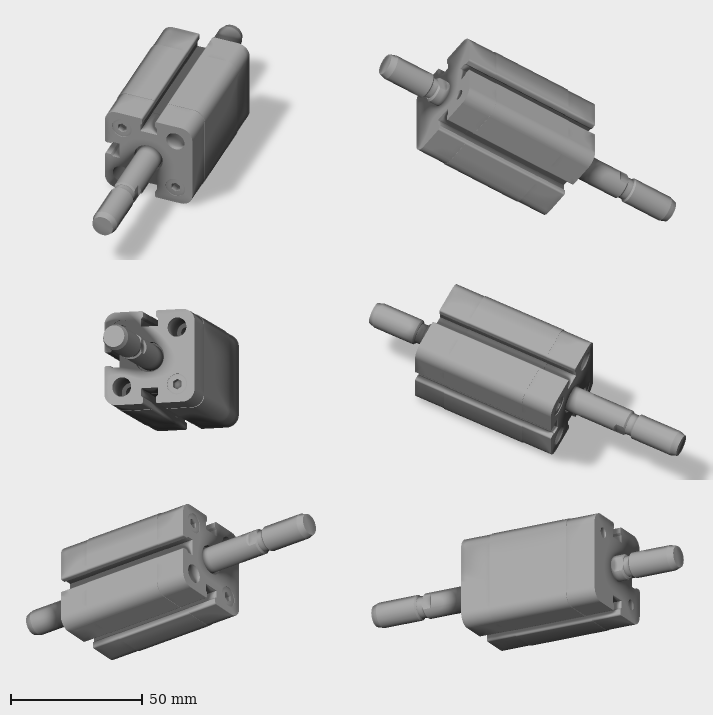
import cadquery as cq
import math


BODY_WIDTH = 36.2
BODY_LENGTH = 57.9
CAP_LENGTH = 12.3
CAP_CORNER_RADIUS = 4.7
CAP_RECESS = 0.1
TUBE_CORNER_RADIUS = 4.6

SLOT_MOUTH = 5.2
SLOT_WIDTH = 6.8
SLOT_DEPTH = 6.0
LIP_STRAIGHT_DEPTH = 2.4
LIP_EDGE_RADIUS = 0.7
SLOT_ANGLES = (0, 90, 180)

HOLE_OFFSET = 11.0
BOLT_HOLE_DIAMETER = 4.2
COUNTERBORE_DIAMETER = 7.5
COUNTERBORE_DEPTH = CAP_LENGTH
SCREW_DIAMETER = 8.0
SCREW_RECESS = 0.3
HEX_ACROSS_FLATS = 3.5
HEX_DEPTH = 2.6

ROD_DIAMETER = 10.0
ROD_LENGTH = 131.0
FRONT_PROJECTION = 46.5
BEARING_DIAMETER = 11.7
BEARING_RECESS = 2.0

FRONT_NECK_DIAMETER = 8.5
REAR_NECK_DIAMETER = 7.9
TIP_DIAMETER = 8.4
TIP_CHAMFER_LENGTH = 2.5
NECK_START = 19.5
NECK_END = 21.9
NECK_CHAMFER = 0.7
FLATS_END = 25.5
FLATS_WIDTH = 8.3
FLATS_DEPTH = (ROD_DIAMETER - FLATS_WIDTH) / 2

ROD_RADIUS = ROD_DIAMETER / 2
REAR_PROJECTION = ROD_LENGTH - BODY_LENGTH - FRONT_PROJECTION


def plane_facing_front(y):
    """Sketch plane at the given Y whose local axes are X and Z."""
    return cq.Workplane("XZ", origin=(0, y, 0))


def slot_cutter(half_height, y_start, length):
    """Slot in the top side of a section whose top face is half_height above the axis."""
    top = half_height
    floor = top - SLOT_DEPTH
    mouth = SLOT_MOUTH / 2
    channel = SLOT_WIDTH / 2
    lip_bottom = top - LIP_STRAIGHT_DEPTH
    undercut = channel - mouth
    outline = (
        plane_facing_front(y_start)
        .moveTo(-channel, floor)
        .lineTo(channel, floor)
        .lineTo(channel, lip_bottom - undercut)
        .lineTo(mouth, lip_bottom)
        .lineTo(mouth, top - LIP_EDGE_RADIUS)
        .radiusArc((mouth + LIP_EDGE_RADIUS, top), LIP_EDGE_RADIUS)
        .lineTo(-mouth - LIP_EDGE_RADIUS, top)
        .radiusArc((-mouth, top - LIP_EDGE_RADIUS), LIP_EDGE_RADIUS)
        .lineTo(-mouth, lip_bottom)
        .lineTo(-channel, lip_bottom - undercut)
        .close()
    )
    return outline.extrude(-length)


def body_section(width, corner_radius, y_start, length):
    """Square bar with rounded corners and its three sensor slots."""
    section = plane_facing_front(y_start).rect(width, width).extrude(-length)
    section = section.edges("|Y").fillet(corner_radius)
    cutter = slot_cutter(width / 2, y_start, length)
    for angle in SLOT_ANGLES:
        section = section.cut(cutter.rotate((0, 0, 0), (0, -1, 0), angle))
    return section


def make_body():
    rear_cap_start = BODY_LENGTH - CAP_LENGTH
    cap_width = BODY_WIDTH - 2 * CAP_RECESS
    tube_length = rear_cap_start - CAP_LENGTH
    body = body_section(BODY_WIDTH, TUBE_CORNER_RADIUS, CAP_LENGTH, tube_length)
    for cap_start in (0, rear_cap_start):
        body = body.union(body_section(cap_width, CAP_CORNER_RADIUS, cap_start, CAP_LENGTH))
    return body


def cut_mounting_holes(body):
    """Two counterbored through holes on one diagonal."""
    centers = [(HOLE_OFFSET, HOLE_OFFSET), (-HOLE_OFFSET, -HOLE_OFFSET)]
    front = plane_facing_front(0).pushPoints(centers)
    body = body.cut(front.circle(BOLT_HOLE_DIAMETER / 2).extrude(-BODY_LENGTH))
    return body.cut(front.circle(COUNTERBORE_DIAMETER / 2).extrude(-COUNTERBORE_DEPTH))


def cut_screw_heads(body):
    """Two socket screw heads, set just below the front face, on the other diagonal."""
    centers = [(-HOLE_OFFSET, HOLE_OFFSET), (HOLE_OFFSET, -HOLE_OFFSET)]
    hex_corner_diameter = HEX_ACROSS_FLATS / math.cos(math.pi / 6)
    for x, z in centers:
        seat = plane_facing_front(0).center(x, z)
        body = body.cut(seat.circle(SCREW_DIAMETER / 2).extrude(-SCREW_RECESS))
        socket = seat.transformed(rotate=(0, 0, 30)).polygon(6, hex_corner_diameter)
        body = body.cut(socket.extrude(-HEX_DEPTH))
    return body


def cut_bearing_recess(body):
    return body.cut(plane_facing_front(0).circle(BEARING_DIAMETER / 2).extrude(-BEARING_RECESS))


def rod_end(length, neck_diameter):
    """Rod end with its tip at Y = 0, reaching toward +Y."""
    neck_radius = neck_diameter / 2
    profile = [
        (0, 0),
        (TIP_DIAMETER / 2, 0),
        (ROD_RADIUS, TIP_CHAMFER_LENGTH),
        (ROD_RADIUS, NECK_START - NECK_CHAMFER),
        (ROD_RADIUS - NECK_CHAMFER, NECK_START),
        (neck_radius, NECK_START),
        (neck_radius, NECK_END),
        (ROD_RADIUS - NECK_CHAMFER, NECK_END),
        (ROD_RADIUS, NECK_END + NECK_CHAMFER),
        (ROD_RADIUS, length),
        (0, length),
    ]
    rod = cq.Workplane("XY").polyline(profile).close().revolve(360, (0, 0, 0), (0, 1, 0))
    for side in (1, -1):
        rod = rod.cut(wrench_flat_cutter(side))
    return rod


def wrench_flat_cutter(side):
    """Flat on the +X or -X side, running out of the rod at 45 degrees."""
    flat = FLATS_WIDTH / 2
    outline = [
        (side * flat, NECK_END),
        (side * flat, FLATS_END),
        (side * ROD_RADIUS, FLATS_END + FLATS_DEPTH),
        (side * ROD_RADIUS, NECK_END),
    ]
    return cq.Workplane("XY").polyline(outline).close().extrude(ROD_RADIUS, both=True)


def make_rod():
    middle = BODY_LENGTH / 2
    front = rod_end(FRONT_PROJECTION + middle, FRONT_NECK_DIAMETER)
    rear = rod_end(REAR_PROJECTION + middle, REAR_NECK_DIAMETER)
    front = front.translate((0, -FRONT_PROJECTION, 0))
    rear = rear.rotate((0, 0, 0), (0, 0, 1), 180)
    rear = rear.translate((0, BODY_LENGTH + REAR_PROJECTION, 0))
    return front.union(rear)


body = make_body()
body = cut_mounting_holes(body)
body = cut_screw_heads(body)
body = cut_bearing_recess(body)
result = body.union(make_rod())